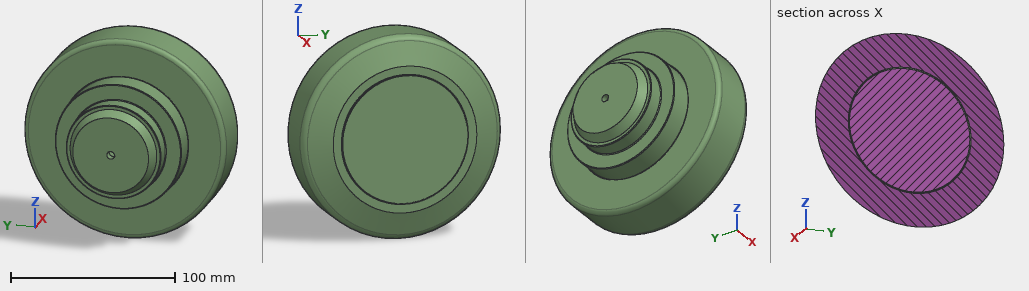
import cadquery as cq
import math


pin_length = 67.9
hub_diameter = 80.0
hub_start = 16.4
shank_diameter = 60.0
shank_start = 6.0
edge_chamfer = 0.5
root_flare_length = 0.6
root_flare_height = 0.5
nose_root_diameter = 55.0
nose_angle = math.radians(30)
center_hole_diameter = 4.9
center_hole_depth = 5.1
drill_tip_angle = math.radians(60)

roller_diameter = 127.8
roller_start = 30.2
roller_end = 67.2
inner_fillet = 3.0
outer_fillet = 5.0
taper_angle = math.radians(20)
end_face_diameter = 91.8
hub_clearance = 0.5
clearance_depth = 1.0


def turn(profile):
    """Close a half profile drawn as (X, radius) and turn it about the X axis."""
    return profile.close().revolve(360, (0, 0, 0), (1, 0, 0))


def make_pin():
    hub_radius = hub_diameter / 2
    shank_radius = shank_diameter / 2
    nose_root_radius = nose_root_diameter / 2
    nose_tip_radius = nose_root_radius - shank_start * math.tan(nose_angle)
    hole_radius = center_hole_diameter / 2
    hole_tip = center_hole_depth + hole_radius / math.tan(drill_tip_angle)
    return turn(
        cq.Workplane("XY")
        .moveTo(hole_tip, 0)
        .lineTo(center_hole_depth, hole_radius)
        .lineTo(0, hole_radius)
        .lineTo(0, nose_tip_radius)
        .lineTo(shank_start, nose_root_radius)
        .lineTo(shank_start, shank_radius - edge_chamfer)
        .lineTo(shank_start + edge_chamfer, shank_radius)
        .lineTo(hub_start - root_flare_length, shank_radius)
        .lineTo(hub_start, shank_radius + root_flare_height)
        .lineTo(hub_start, hub_radius - edge_chamfer)
        .lineTo(hub_start + edge_chamfer, hub_radius)
        .lineTo(pin_length, hub_radius)
        .lineTo(pin_length, 0)
    )


def make_roller():
    rim_radius = roller_diameter / 2
    bore_radius = hub_diameter / 2
    recess_radius = bore_radius + hub_clearance
    end_face_radius = end_face_diameter / 2

    inner_sag = inner_fillet * (1 - math.sqrt(0.5))
    inner_middle = (roller_start + inner_sag, rim_radius - inner_sag)

    outer_turn = math.pi / 2 - taper_angle
    taper_radius = rim_radius - outer_fillet * (1 - math.cos(outer_turn))
    taper_start = roller_end - (taper_radius - end_face_radius) * math.tan(taper_angle)
    rim_end = taper_start - outer_fillet * math.sin(outer_turn)
    outer_middle = (
        rim_end + outer_fillet * math.sin(outer_turn / 2),
        rim_radius - outer_fillet * (1 - math.cos(outer_turn / 2)),
    )
    return turn(
        cq.Workplane("XY")
        .moveTo(roller_start, recess_radius)
        .lineTo(roller_start, rim_radius - inner_fillet)
        .threePointArc(inner_middle, (roller_start + inner_fillet, rim_radius))
        .lineTo(rim_end, rim_radius)
        .threePointArc(outer_middle, (taper_start, taper_radius))
        .lineTo(roller_end, end_face_radius)
        .lineTo(roller_end, recess_radius)
        .lineTo(roller_end - clearance_depth, recess_radius)
        .lineTo(roller_end - clearance_depth, bore_radius)
        .lineTo(roller_start + clearance_depth, bore_radius)
        .lineTo(roller_start + clearance_depth, recess_radius)
    )


pin = make_pin()
roller = make_roller()

result = cq.Compound.makeCompound([pin.val(), roller.val()])